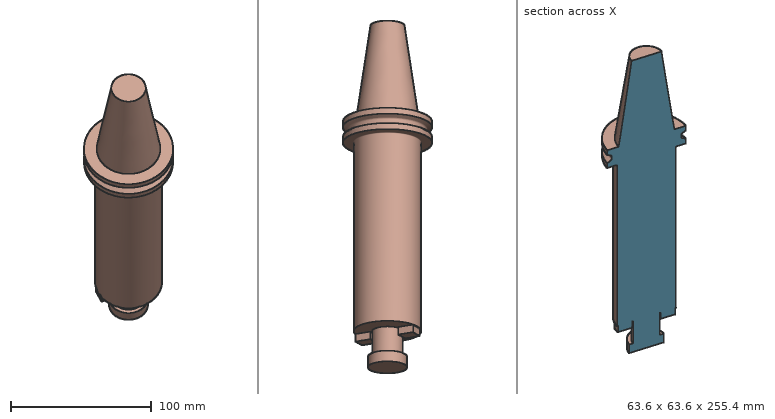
import cadquery as cq
import math


gauge_diameter = 44.45
taper_length = 68.4
taper_ratio = 7 / 24
taper_tip_diameter = gauge_diameter - taper_ratio * taper_length

flange_diameter = 63.55
flange_top_z = -3.2
flange_bottom_z = -19.1
taper_base_diameter = gauge_diameter - taper_ratio * flange_top_z
groove_diameter = 56.25
groove_center_z = -11.1
groove_mouth_width = 7.07
groove_flank_angle = 30
groove_fillet_radius = 1

body_diameter = 48
body_end_z = -160
body_fillet_radius = 0.5

pilot_diameter = 22
pilot_length = 19
head_diameter = 28
head_height = 8
pilot_end_z = body_end_z - pilot_length

key_width = 10
key_height = 5.6
key_outer_y = 23.2
key_pilot_clearance = 0.25
key_inner_y = pilot_diameter / 2 + key_pilot_clearance
key_length = key_outer_y - key_inner_y
key_center_y = (key_outer_y + key_inner_y) / 2


def cylinder(diameter, top_z, bottom_z):
    """Solid cylinder on the axis between two heights."""
    return cq.Workplane("XY").workplane(offset=bottom_z).circle(diameter / 2).extrude(top_z - bottom_z)


def taper_shank():
    """Cone from the flange face up to the small end."""
    return (
        cq.Workplane("XZ")
        .moveTo(0, flange_top_z)
        .lineTo(taper_base_diameter / 2, flange_top_z)
        .lineTo(taper_tip_diameter / 2, taper_length)
        .lineTo(0, taper_length)
        .close()
        .revolve(360, (0, 0, 0), (0, 1, 0))
    )


def flange():
    """Flange with a flat-bottomed V groove around its rim, rounded at the groove floor."""
    rim_radius = flange_diameter / 2
    floor_radius = groove_diameter / 2
    mouth_half = groove_mouth_width / 2
    floor_half = mouth_half - (rim_radius - floor_radius) * math.tan(math.radians(groove_flank_angle))
    grooved_disc = (
        cq.Workplane("XZ")
        .moveTo(0, flange_top_z)
        .lineTo(rim_radius, flange_top_z)
        .lineTo(rim_radius, groove_center_z + mouth_half)
        .lineTo(floor_radius, groove_center_z + floor_half)
        .lineTo(floor_radius, groove_center_z - floor_half)
        .lineTo(rim_radius, groove_center_z - mouth_half)
        .lineTo(rim_radius, flange_bottom_z)
        .lineTo(0, flange_bottom_z)
        .close()
        .revolve(360, (0, 0, 0), (0, 1, 0))
    )
    floor_edges = cq.selectors.BoxSelector(
        (-floor_radius, -floor_radius, groove_center_z - mouth_half / 2),
        (floor_radius, floor_radius, groove_center_z + mouth_half / 2),
        boundingbox=False,
    )
    return grooved_disc.edges("%CIRCLE").edges(floor_edges).fillet(groove_fillet_radius)


def body():
    """Long cylinder from the flange to the cutter seat."""
    return cylinder(body_diameter, flange_bottom_z, body_end_z)


def flange_with_body():
    """Flange and body joined, with a fillet where the body meets the flange."""
    body_radius = body_diameter / 2
    corner_edge = cq.selectors.BoxSelector(
        (-body_radius, -body_radius, flange_bottom_z - body_fillet_radius),
        (body_radius, body_radius, flange_bottom_z + body_fillet_radius),
        boundingbox=False,
    )
    smallest_circle = cq.selectors.RadiusNthSelector(0)
    joined = flange().union(body())
    return joined.edges("%CIRCLE").edges(corner_edge).edges(smallest_circle).fillet(body_fillet_radius)


def pilot_and_head():
    """Pilot that centres the cutter, closed by the wider screw head."""
    pilot = cylinder(pilot_diameter, body_end_z, pilot_end_z)
    head = cylinder(head_diameter, pilot_end_z, pilot_end_z - head_height)
    return pilot.union(head)


def drive_keys():
    """Two opposite keys along Y, standing on the cutter seat."""
    key_centers = [(0, side * key_center_y) for side in (1, -1)]
    return (
        cq.Workplane("XY")
        .workplane(offset=body_end_z - key_height)
        .pushPoints(key_centers)
        .rect(key_width, key_length)
        .extrude(key_height)
    )


result = taper_shank().union(flange_with_body()).union(pilot_and_head()).union(drive_keys())